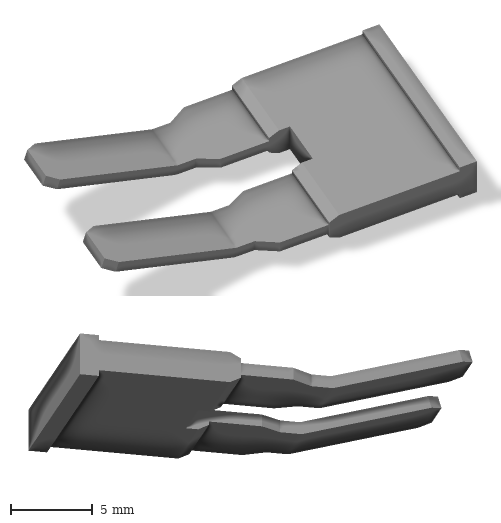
import cadquery as cq
import math

width = 13.2
length = 25.15
height = 4.45

head_length = 1.18
head_height = 2.7
body_bottom = 0.38
body_top = 2.36
body_length = 10.15
bevel_length = 0.68
bevel_height = 0.35

notch_width = 3.1
notch_start = 8.72

prong_thickness = 0.78
prong_bottom = 0.95
prong_top = prong_bottom + prong_thickness
prong_offset = 3.97
prong_width = 3.47
shoulder_outer = 6.5
shoulder_inner = notch_width / 2
taper_start = 13.5
taper_end = 14.83

bend_angle = math.radians(17.1)
bend_inner_radius = 0.3
bend_outer_radius = bend_inner_radius + prong_thickness
tip_cut_width = 0.48
tip_cut_length = 0.78

tip_length = (height - prong_top) / math.sin(bend_angle)
tip_setback = prong_thickness * math.sin(bend_angle)
tip_drop = prong_thickness * math.cos(bend_angle)
bend_top = length - tip_setback - tip_length * math.cos(bend_angle)
bend_bottom = bend_top + prong_thickness * math.tan(bend_angle / 2)


def extrude_side_profile(points):
    """Extrude (distance from rear, height) points across the full width."""
    outline = [(-distance, z) for distance, z in points]
    return cq.Workplane("YZ").polyline(outline).close().extrude(width / 2, both=True)


def make_body():
    body = extrude_side_profile([
        (0, 0),
        (head_length, 0),
        (head_length, body_bottom),
        (body_length - bevel_length, body_bottom),
        (body_length, body_bottom + bevel_height),
        (body_length, body_top - bevel_height),
        (body_length - bevel_length, body_top),
        (head_length, body_top),
        (head_length, head_height),
        (0, head_height),
    ])
    notch_length = body_length - notch_start
    notch = (
        cq.Workplane("XY")
        .box(notch_width, notch_length, head_height, centered=(True, False, False))
        .translate((0, -body_length, 0))
    )
    return body.cut(notch)


def make_bent_strip():
    strip = extrude_side_profile([
        (notch_start, prong_bottom),
        (bend_bottom, prong_bottom),
        (length, height - tip_drop),
        (length - tip_setback, height),
        (bend_top, prong_top),
        (notch_start, prong_top),
    ])
    inner_edge = cq.selectors.NearestToPointSelector((0, -bend_top, prong_top))
    outer_edge = cq.selectors.NearestToPointSelector((0, -bend_bottom, prong_bottom))
    strip = strip.edges(inner_edge).fillet(bend_inner_radius)
    return strip.edges(outer_edge).fillet(bend_outer_radius)


def make_prong_outline():
    """Vertical prism that trims the bent strip to the right-hand prong."""
    inner = prong_offset - prong_width / 2
    outer = prong_offset + prong_width / 2
    return (
        cq.Workplane("XY")
        .polyline([
            (shoulder_inner, -notch_start),
            (shoulder_outer, -notch_start),
            (shoulder_outer, -taper_start),
            (outer, -taper_end),
            (outer, -length),
            (inner, -length),
            (inner, -taper_end),
            (shoulder_inner, -taper_start),
        ])
        .close()
        .extrude(height)
    )


def make_tip_cutters():
    """Triangular prisms, square to the sloped blade, for both tip corners."""
    sloped_plane = cq.Plane(
        origin=(prong_offset, tip_setback - length, height),
        xDir=(1, 0, 0),
        normal=(0, math.sin(bend_angle), math.cos(bend_angle)),
    )
    cutters = cq.Workplane(sloped_plane)
    for side in (-1, 1):
        edge = side * prong_width / 2
        cutters = cutters.polyline([
            (edge, 0),
            (edge - side * tip_cut_width, 0),
            (edge, tip_cut_length),
        ]).close()
    return cutters.extrude(prong_thickness, both=True)


right_prong = make_bent_strip().intersect(make_prong_outline()).cut(make_tip_cutters())
left_prong = right_prong.mirror("YZ")
result = make_body().union(right_prong).union(left_prong)